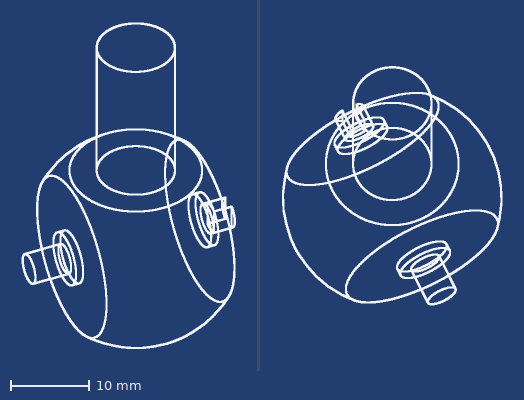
import cadquery as cq
import math

ball_radius = 14.0
top_flat_radius = 8.5
shank_radius = 5.0
shank_length = 20.0
side_flat_offset = 9.0

collar_radius = 3.5
collar_thickness = 1.0
pin_radius = 2.0
front_pin_length = 5.0
rear_pin_length = 3.02
slot_width = 2.0
slot_depth = 2.5

top_flat_height = math.sqrt(ball_radius**2 - top_flat_radius**2)
collar_face = side_flat_offset + collar_thickness
rear_pin_end = collar_face + rear_pin_length


def y_cylinder(radius, y_start, y_end):
    """Cylinder on the Y axis between two Y positions."""
    return cq.Workplane("XZ", origin=(0, y_start, 0)).circle(radius).extrude(y_start - y_end)


def flattened_ball():
    """Sphere with flats on the front, the rear and the top."""
    envelope = cq.Workplane("XY").box(
        2 * ball_radius, 2 * side_flat_offset, ball_radius + top_flat_height
    ).translate((0, 0, (top_flat_height - ball_radius) / 2))
    return cq.Workplane("XY").sphere(ball_radius).intersect(envelope)


def shank():
    """Upright round shank standing on the top flat."""
    base = cq.Workplane("XY", origin=(0, 0, top_flat_height))
    return base.circle(shank_radius).extrude(shank_length)


def trunnions():
    """Collars and pins on both side flats, with a screwdriver slot in the rear pin."""
    collars = y_cylinder(collar_radius, -collar_face, collar_face)
    pins = y_cylinder(pin_radius, -collar_face - front_pin_length, rear_pin_end)
    slot = cq.Workplane("XY").box(slot_width, slot_depth, 2 * pin_radius).translate(
        (0, rear_pin_end - slot_depth / 2, 0)
    )
    return collars.union(pins).cut(slot)


result = flattened_ball().union(shank()).union(trunnions())